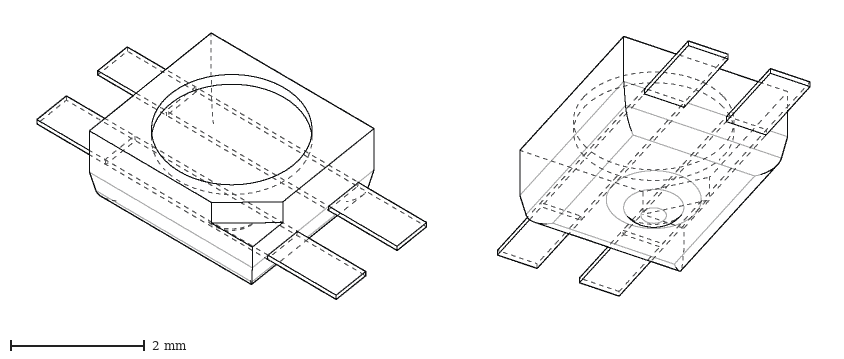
import cadquery as cq
import math


body_length = 3.2
body_width = 2.8
upper_height = 0.85
lower_depth = 0.63
draft_angle = 10.0
bottom_fillet = 0.3

recess_diameter = 2.4
recess_depth = 0.2

notch_length = body_length / 4
notch_width = body_width / 4
notch_depth = upper_height / 2

boss_height = 0.3
boss_waist_radius = 0.45
boss_flank_angle = 60.0
boss_root_fillet = 0.3

lead_span = 5.88
lead_width = 0.68
lead_thickness = 0.09
lead_pitch = 1.4


def make_boss():
    """Turned boss whose S-shaped flank is two arcs, tangent to each other at the waist."""
    flank = math.radians(boss_flank_angle)
    arc_drop_ratio = 1 - math.cos(flank)
    tip_fillet = boss_height / arc_drop_ratio - boss_root_fillet
    root_z = -lower_depth
    tip_z = root_z - boss_height
    waist_z = root_z - boss_root_fillet * arc_drop_ratio
    root_radius = boss_waist_radius + boss_root_fillet * math.sin(flank)
    tip_radius = boss_waist_radius - tip_fillet * math.sin(flank)
    return (
        cq.Workplane("XZ")
        .moveTo(0, root_z)
        .lineTo(root_radius, root_z)
        .radiusArc((boss_waist_radius, waist_z), -boss_root_fillet)
        .radiusArc((tip_radius, tip_z), tip_fillet)
        .lineTo(0, tip_z)
        .close()
        .revolve(360, (0, 0, 0), (0, 1, 0))
    )


def make_leads():
    """Two flat strips, each running through the housing from end to end."""
    leads = []
    for side in (-1, 1):
        lead = (
            cq.Workplane("XY")
            .center(0, side * lead_pitch / 2)
            .rect(lead_span, lead_width)
            .extrude(-lead_thickness)
        )
        leads.append(lead)
    return leads


def make_housing(leads):
    """Moulded housing with a slot through it for each lead."""
    upper = cq.Workplane("XY").rect(body_length, body_width).extrude(upper_height)
    lower = (
        cq.Workplane("XY")
        .rect(body_length, body_width)
        .extrude(-lower_depth, taper=draft_angle)
        .faces("<Z")
        .edges()
        .fillet(bottom_fillet)
    )
    recess = (
        cq.Workplane("XY", origin=(0, 0, upper_height))
        .circle(recess_diameter / 2)
        .extrude(-recess_depth)
    )
    corner_x = body_length / 2
    corner_y = -body_width / 2
    notch = (
        cq.Workplane("XY", origin=(0, 0, upper_height))
        .moveTo(corner_x, corner_y)
        .lineTo(corner_x, corner_y + notch_width)
        .lineTo(corner_x - notch_length, corner_y)
        .close()
        .extrude(-notch_depth)
    )
    housing = upper.union(lower).union(make_boss()).cut(recess).cut(notch)
    for lead in leads:
        housing = housing.cut(lead)
    return housing.solids()


leads = make_leads()
housing = make_housing(leads)

result = cq.Compound.makeCompound([housing.val(), *[lead.val() for lead in leads]])